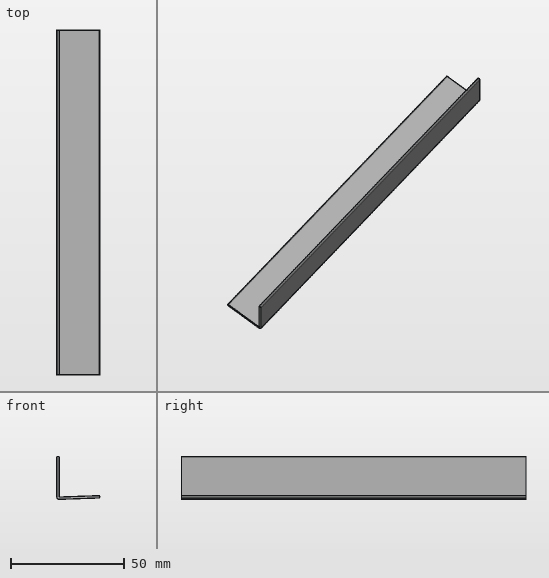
import cadquery as cq
import math

length = 152.4
width = 19.0
height = 19.0
thickness = 1.15
leg_tilt = 2.0
tip_radius = 0.5

tilt = math.radians(leg_tilt)

corner = thickness
lower_edge_depth = thickness - tip_radius
arc_centre_x = width - tip_radius
lower_leg = (arc_centre_x - corner - lower_edge_depth * math.sin(tilt)) / math.cos(tilt) + tip_radius


def on_lower_leg(run, depth):
    """Point at a distance along the tilted leg and a depth below its upper face."""
    x = corner + run * math.cos(tilt) + depth * math.sin(tilt)
    z = corner + run * math.sin(tilt) - depth * math.cos(tilt)
    return (x, z)


bend_middle_angle = (tilt - math.pi / 2 - math.pi) / 2
bend_middle = (
    corner + thickness * math.cos(bend_middle_angle),
    corner + thickness * math.sin(bend_middle_angle),
)

profile = (
    cq.Workplane("XZ")
    .moveTo(0, corner)
    .lineTo(0, height)
    .lineTo(thickness, height)
    .lineTo(corner, corner)
    .lineTo(*on_lower_leg(lower_leg, 0))
    .lineTo(*on_lower_leg(lower_leg, thickness))
    .lineTo(*on_lower_leg(0, thickness))
    .threePointArc(bend_middle, (0, corner))
    .close()
)
angle_bar = profile.extrude(length / 2, both=True)

upright_tip_edges = angle_bar.faces(">Z").edges("|Y")
lower_tip_edges = angle_bar.faces(">X").edges("|Y")
result = angle_bar.newObject(upright_tip_edges.vals() + lower_tip_edges.vals()).fillet(tip_radius)